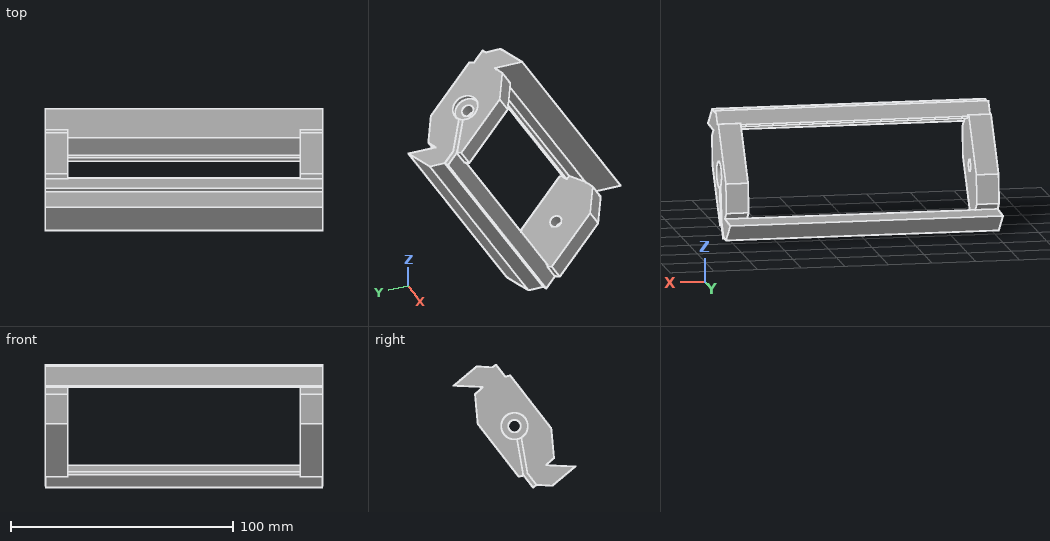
import math

import cadquery as cq

length = 125.0
end_thickness = 10.25
half_length = length / 2
window_length = length - 2 * end_thickness
window_size = length

tilt = math.radians(52.2)

plate_half_width = 12.5
flank_start = 11.0
shoulder_along = 19.2
notch_along = 20.2
undercut_along = 22.3
undercut_outer_across = 5.3

hook_tip = (31.2, 10.61)
hook_back = (31.7, -3.1)
hook_throat = (22.6, 0.5)

strip_top = 27.03
strip_length = 7.5
strip_thickness = 2.0
strip_outer_across = -10.4
strip_inner_across = strip_outer_across + strip_thickness
strip_bottom = strip_top - strip_length
rail_inner_along = 21.4

hook_outline = [
    (strip_top, strip_outer_across),
    (strip_top, strip_inner_across),
    hook_back,
    hook_tip,
    hook_throat,
]

hole_diameter = 5.5
counterbore_diameter = 12.0
counterbore_depth = 3.0
groove_width = 2.0
groove_depth = 0.2
groove_lean = 9.8
groove_offset = 1.15
groove_reach = 21.8


def to_yz(point):
    """Turn an (along, across) point into (Y, Z)."""
    along, across = point
    y = -(along * math.cos(tilt) + across * math.sin(tilt))
    z = along * math.sin(tilt) - across * math.cos(tilt)
    return (y, z)


def half_turn(points):
    """Turn points by 180 degrees about the X axis."""
    return [(-along, -across) for along, across in points]


def extrude_section(points, x_start, x_length):
    """Extrude a section given in (along, across) points towards +X."""
    plane = cq.Workplane("YZ", origin=(x_start, 0, 0))
    return plane.polyline([to_yz(point) for point in points]).close().extrude(x_length)


def plate_section():
    """End plate with both hooks; its second half is the first turned by 180 degrees."""
    half = [
        (shoulder_along, -plate_half_width),
        (notch_along, strip_outer_across),
        *hook_outline,
        (undercut_along, undercut_outer_across),
        (flank_start, plate_half_width),
    ]
    return half + half_turn(half)


def rail_section():
    """Upper rail: one hook with its strip."""
    return [
        (strip_bottom, strip_outer_across),
        *hook_outline,
        (rail_inner_along, strip_inner_across),
        (strip_bottom, strip_inner_across),
    ]


def strip_section():
    """Strip alone, on the back of the upper hook."""
    return [
        (strip_bottom, strip_outer_across),
        (strip_top, strip_outer_across),
        (strip_top, strip_inner_across),
        (strip_bottom, strip_inner_across),
    ]


def make_frame():
    """Two end plates joined by two rails that run the full length."""
    plates = extrude_section(plate_section(), -half_length, length)
    window = cq.Workplane("XY").box(window_length, window_size, window_size)
    frame = plates.cut(window)
    for section in (rail_section(), half_turn(rail_section())):
        frame = frame.union(extrude_section(section, -half_length, length))
    return frame


def end_recess():
    """Counterbore and groove sunk into the -X end face; the groove runs into the lower strip's end."""
    face = cq.Workplane("YZ", origin=(-half_length, 0, 0))
    counterbore = face.circle(counterbore_diameter / 2).extrude(counterbore_depth)
    groove = (
        face.center(groove_offset, 0)
        .transformed(rotate=(0, 0, groove_lean))
        .center(0, -groove_reach / 2)
        .rect(groove_width, groove_reach)
        .extrude(groove_depth)
    )
    strip_end = extrude_section(half_turn(strip_section()), -half_length, groove_depth)
    return counterbore.union(groove).union(strip_end)


recess = end_recess()
hole = cq.Workplane("YZ", origin=(-half_length, 0, 0)).circle(hole_diameter / 2).extrude(length)
result = make_frame().cut(hole).cut(recess).cut(recess.mirror("YZ"))